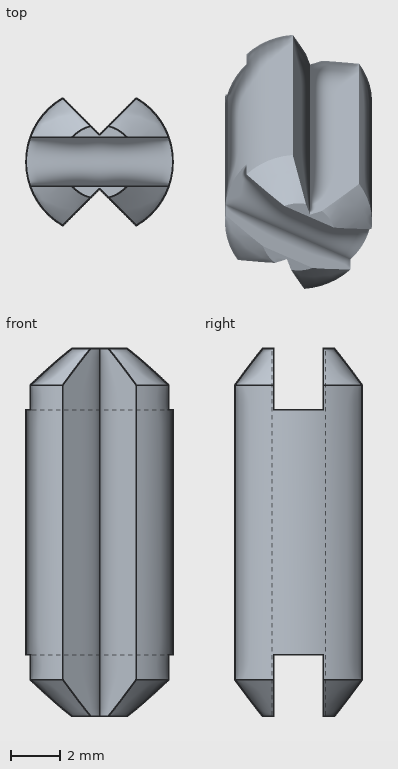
import cadquery as cq
import math

diameter = 6.0
length = 15.0
chamfer_height = 1.5
end_radius = 1.5
slot_width = 2.0
slot_depth = 2.5
groove_mouth_width = 3.0
groove_angle = 90.0

radius = diameter / 2
half_length = length / 2


def make_body():
    """Cylinder along Z with a cone at each end, centred on the origin."""
    shoulder_height = half_length - chamfer_height
    return (
        cq.Workplane("XZ")
        .moveTo(0, -half_length)
        .lineTo(end_radius, -half_length)
        .lineTo(radius, -shoulder_height)
        .lineTo(radius, shoulder_height)
        .lineTo(end_radius, half_length)
        .lineTo(0, half_length)
        .close()
        .revolve(360, (0, 0, 0), (0, 1, 0))
    )


def make_end_slot(side):
    """Screwdriver slot along X; side is +1 for the upper end, -1 for the lower."""
    slot_center_z = side * (half_length - slot_depth / 2)
    return cq.Workplane("XY").box(diameter, slot_width, slot_depth).translate((0, 0, slot_center_z))


def make_side_groove(side):
    """Full-length V groove; side is +1 for the +Y face, -1 for the -Y face."""
    slope = 1 / math.tan(math.radians(groove_angle / 2))
    mouth_half_width = groove_mouth_width / 2
    mouth_y = math.sqrt(radius**2 - mouth_half_width**2)
    apex_y = mouth_y - mouth_half_width * slope
    cutter_half_width = (radius - apex_y) / slope
    return (
        cq.Workplane("XY")
        .workplane(offset=-half_length)
        .moveTo(0, side * apex_y)
        .lineTo(cutter_half_width, side * radius)
        .lineTo(-cutter_half_width, side * radius)
        .close()
        .extrude(length)
    )


result = make_body()
for end in (1, -1):
    result = result.cut(make_end_slot(end))
    result = result.cut(make_side_groove(end))